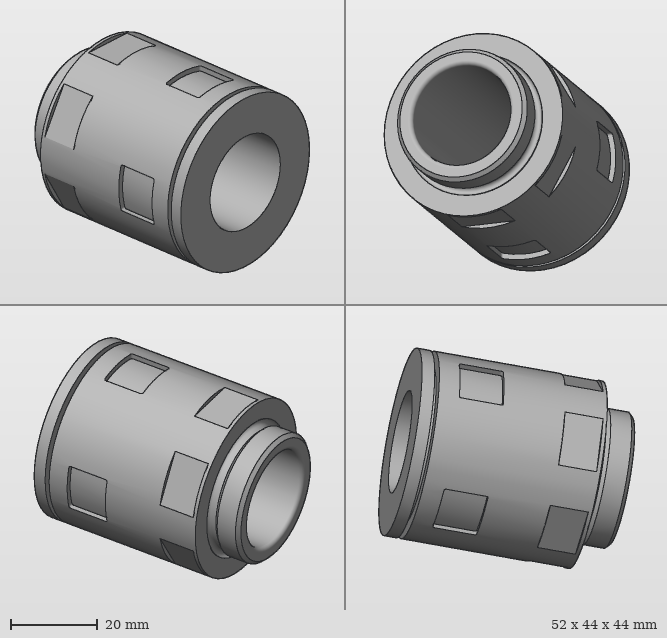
import cadquery as cq
import math

TOTAL_LENGTH = 52.0
COLLAR_END = 5.9
BODY_START = 8.1
FLATS_START = 9.0
FLATS_LENGTH = 9.0
WINDOW_START = 32.6
WINDOW_LENGTH = 10.4
GROOVE_START = 47.9
GROOVE_WIDTH = 1.1

BODY_DIAMETER = 44.0
COLLAR_DIAMETER = 32.0
NECK_DIAMETER = 30.16
BORE_DIAMETER = 24.0
GROOVE_DIAMETER = 37.3
SEAL_RECESS_DIAMETER = 34.0

COLLAR_CHAMFER = 0.92
BORE_ENTRY_RADIUS = 1.0

FLAT_COUNT = 6
FLATS_ACROSS = 42.0
WINDOW_COUNT = 4
WINDOW_WIDTH = 12.0
WINDOW_DEPTH = 1.3
WINDOW_CORNER_RADIUS = 0.5

BODY_RADIUS = BODY_DIAMETER / 2
FULL_TURN = 360.0
CUTTER_MARGIN = 1.0


def turned_body():
    """Solid of revolution: spigot, neck, seal recess, body and narrow groove."""
    collar_radius = COLLAR_DIAMETER / 2
    neck_radius = NECK_DIAMETER / 2
    bore_radius = BORE_DIAMETER / 2
    groove_radius = GROOVE_DIAMETER / 2
    recess_radius = SEAL_RECESS_DIAMETER / 2
    neck_step = collar_radius - neck_radius
    recess_depth = (recess_radius - neck_radius) / 2
    recess_middle = (recess_radius + neck_radius) / 2
    groove_end = GROOVE_START + GROOVE_WIDTH
    entry_sagitta = BORE_ENTRY_RADIUS * (1 - math.sqrt(0.5))

    profile = (
        cq.Workplane("XY")
        .moveTo(BORE_ENTRY_RADIUS, bore_radius)
        .threePointArc(
            (entry_sagitta, bore_radius + entry_sagitta),
            (0, bore_radius + BORE_ENTRY_RADIUS),
        )
        .lineTo(0, collar_radius - COLLAR_CHAMFER)
        .lineTo(COLLAR_CHAMFER, collar_radius)
        .lineTo(COLLAR_END, collar_radius)
        .lineTo(COLLAR_END + neck_step, neck_radius)
        .lineTo(BODY_START, neck_radius)
        .threePointArc((BODY_START + recess_depth, recess_middle), (BODY_START, recess_radius))
        .lineTo(BODY_START, BODY_RADIUS)
        .lineTo(GROOVE_START, BODY_RADIUS)
        .lineTo(GROOVE_START, groove_radius)
        .lineTo(groove_end, groove_radius)
        .lineTo(groove_end, BODY_RADIUS)
        .lineTo(TOTAL_LENGTH, BODY_RADIUS)
        .lineTo(TOTAL_LENGTH, bore_radius)
        .close()
    )
    return profile.revolve(FULL_TURN, (0, 0, 0), (1, 0, 0))


def wrench_flats_cutter():
    """Ring with a hexagonal hole; two of its flats face +Z and -Z."""
    across_corners = FLATS_ACROSS / math.cos(math.pi / FLAT_COUNT)
    return (
        cq.Workplane("YZ", origin=(FLATS_START, 0, 0))
        .circle(across_corners / 2 + CUTTER_MARGIN)
        .polygon(FLAT_COUNT, across_corners)
        .extrude(FLATS_LENGTH)
    )


def windows_cutter():
    """Rounded rectangular blocks around the body, trimmed to a cylindrical floor."""
    block = (
        cq.Workplane("XY")
        .center(WINDOW_START + WINDOW_LENGTH / 2, 0)
        .rect(WINDOW_LENGTH, WINDOW_WIDTH)
        .extrude(BODY_RADIUS + CUTTER_MARGIN)
        .edges("|Z")
        .fillet(WINDOW_CORNER_RADIUS)
    )
    floor = cq.Workplane("YZ").circle(BODY_RADIUS - WINDOW_DEPTH).extrude(TOTAL_LENGTH)
    window = block.cut(floor)
    cutter = cq.Workplane("XY")
    for index in range(WINDOW_COUNT):
        angle = index * FULL_TURN / WINDOW_COUNT
        cutter = cutter.add(window.rotate((0, 0, 0), (1, 0, 0), angle))
    return cutter.combine()


result = turned_body().cut(wrench_flats_cutter()).cut(windows_cutter())